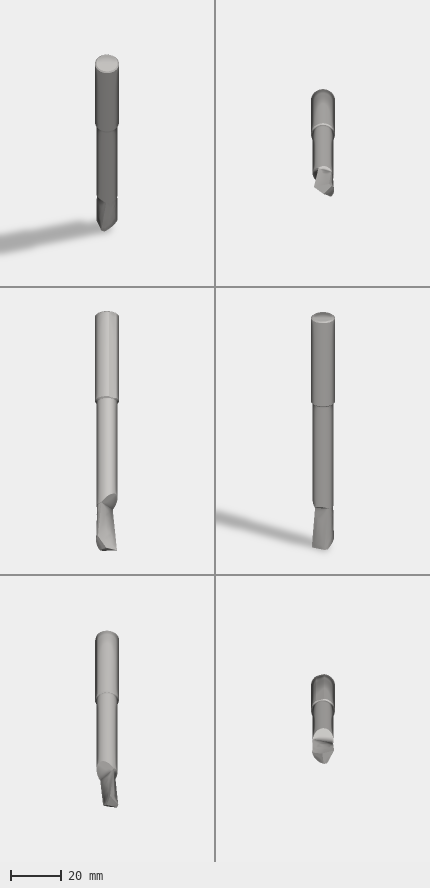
import cadquery as cq
import math

total_length = 101.6
tip_length = 18.3
shank_start = 63.7

shank_radius = 4.8
shank_chamfer = 0.5
shank_flat_offset = 4.5
neck_radius = 4.2

tip_root_radius = 4.1
tip_end_radius = 4.6
tip_twist = 26.0
heel_angle = 97.5
runout_slope = 1.0

end_relief_rise = 0.6
corner_cut_start = 0.3

clearance = 20.3


def polar(radius, angle):
    """Return the point at an angle in degrees around the tool axis."""
    turn = math.radians(angle)
    return (radius * math.cos(turn), radius * math.sin(turn))


def make_shank():
    """Chamfered clamping shank with a narrow flat along its +Y side."""
    length = total_length - shank_start
    shank = (
        cq.Workplane("XY", origin=(0, 0, shank_start))
        .circle(shank_radius)
        .extrude(length)
        .faces("<Z or >Z")
        .chamfer(shank_chamfer)
    )
    flat_cutter = cq.Workplane("XY").box(clearance, clearance, length, centered=(True, False, False))
    return shank.cut(flat_cutter.translate((0, shank_flat_offset, shank_start)))


def runout_cutter(start, end):
    """Wedge that rises outward from a chord at the lower end of the neck.

    The removed side lies to the left when going from start to end.
    """
    chord = cq.Vector(end[0] - start[0], end[1] - start[1], 0)
    outward = cq.Vector(-chord.y, chord.x, 0)
    plane = cq.Plane(origin=(start[0], start[1], tip_length), xDir=outward, normal=chord)
    return (
        cq.Workplane(plane)
        .polyline([(0, 0), (clearance, runout_slope * clearance), (clearance, -clearance), (0, -clearance)])
        .close()
        .extrude(clearance, both=True)
    )


def make_neck():
    """Slim neck whose lower end slopes into the two flat sides of the tip."""
    neck = (
        cq.Workplane("XY", origin=(0, 0, tip_length))
        .circle(neck_radius)
        .extrude(shank_start - tip_length)
    )
    face_end = polar(tip_root_radius, tip_twist)
    edge = polar(tip_root_radius, tip_twist + 180)
    heel = polar(tip_root_radius, tip_twist - heel_angle)
    rake_runout = runout_cutter(edge, face_end)
    heel_runout = runout_cutter(heel, edge)
    return neck.cut(rake_runout).cut(heel_runout)


def tip_section(radius, angle, height):
    """Wire of the tip: rake face, round back and flat between heel and edge."""
    return (
        cq.Workplane("XY", origin=(0, 0, height))
        .moveTo(*polar(radius, angle + 180))
        .lineTo(*polar(radius, angle - heel_angle))
        .threePointArc(polar(radius, angle - heel_angle / 2), polar(radius, angle))
        .close()
        .val()
    )


def make_tip():
    """Twisted cutting tip with a sloping end and a 45 degree corner cut."""
    sections = [tip_section(tip_end_radius, 0, 0), tip_section(tip_root_radius, tip_twist, tip_length)]
    tip = cq.Workplane(cq.Solid.makeLoft(sections, True))
    end_cutter = (
        cq.Workplane("YZ")
        .polyline([(0, 0), (-tip_end_radius, end_relief_rise), (-tip_end_radius, 0)])
        .close()
        .extrude(clearance, both=True)
    )
    corner_cutter = (
        cq.Workplane("XZ")
        .polyline([(corner_cut_start, 0), (clearance, clearance - corner_cut_start), (clearance, 0)])
        .close()
        .extrude(clearance, both=True)
    )
    return tip.cut(end_cutter).cut(corner_cutter)


result = make_shank().union(make_neck()).union(make_tip())